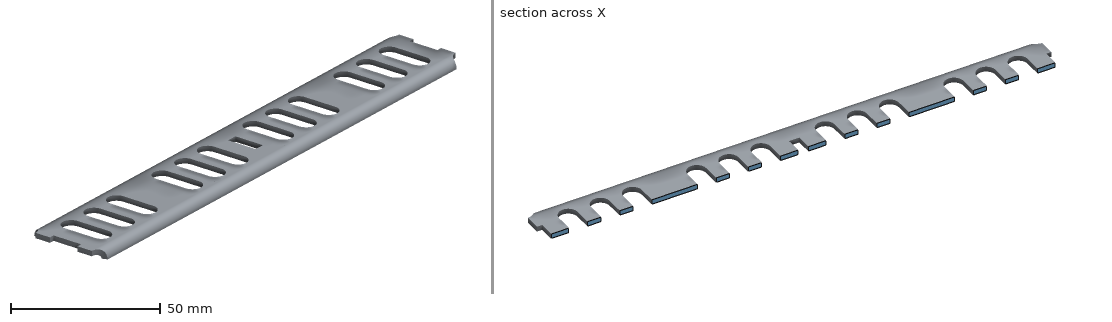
import cadquery as cq

length = 200.0
width = 31.0
height = 3.5
thickness = 2.0

outer_radius = height
inner_radius = outer_radius - thickness
flat_half_width = width / 2 - outer_radius

slot_length = 20.0
slot_width = 7.2
slot_pitch = length / 16
slot_steps = (1, 2, 3, 5, 6, 7)

window_width = 11.5
window_length = 4.0
notch_depth = window_length / 2

relief_radius = 4.0
relief_center_x = flat_half_width + relief_radius


def curled_strip():
    """Sheet profile with both edges curled down, extruded along Y."""
    half_width = width / 2
    diagonal = 0.5 ** 0.5
    outer_mid_x = flat_half_width + outer_radius * diagonal
    outer_mid_z = outer_radius * (diagonal - 1)
    inner_mid_x = flat_half_width + inner_radius * diagonal
    inner_mid_z = inner_radius * diagonal - outer_radius
    inner_foot_x = half_width - thickness
    return (
        cq.Workplane("XZ")
        .moveTo(-flat_half_width, 0)
        .lineTo(flat_half_width, 0)
        .threePointArc((outer_mid_x, outer_mid_z), (half_width, -height))
        .lineTo(inner_foot_x, -height)
        .threePointArc((inner_mid_x, inner_mid_z), (flat_half_width, -thickness))
        .lineTo(-flat_half_width, -thickness)
        .threePointArc((-inner_mid_x, inner_mid_z), (-inner_foot_x, -height))
        .lineTo(-half_width, -height)
        .threePointArc((-outer_mid_x, outer_mid_z), (-flat_half_width, 0))
        .close()
        .extrude(length / 2, both=True)
    )


def through_cutter(sketch):
    """Extrude a plan outline through the full height of the part."""
    return sketch.extrude(height, both=True)


slot_centers = [(0, sign * step * slot_pitch) for sign in (-1, 1) for step in slot_steps]
slots = through_cutter(
    cq.Workplane("XY").pushPoints(slot_centers).slot2D(slot_length, slot_width)
)
window = through_cutter(cq.Workplane("XY").rect(window_width, window_length))

notch_centers = [(0, -length / 2), (0, length / 2)]
notches = through_cutter(
    cq.Workplane("XY").pushPoints(notch_centers).rect(window_width, 2 * notch_depth)
)

corner_reliefs = through_cutter(
    cq.Workplane("XY")
    .rect(2 * relief_center_x, length, forConstruction=True)
    .vertices()
    .circle(relief_radius)
)

result = curled_strip().cut(slots).cut(window).cut(notches).cut(corner_reliefs)